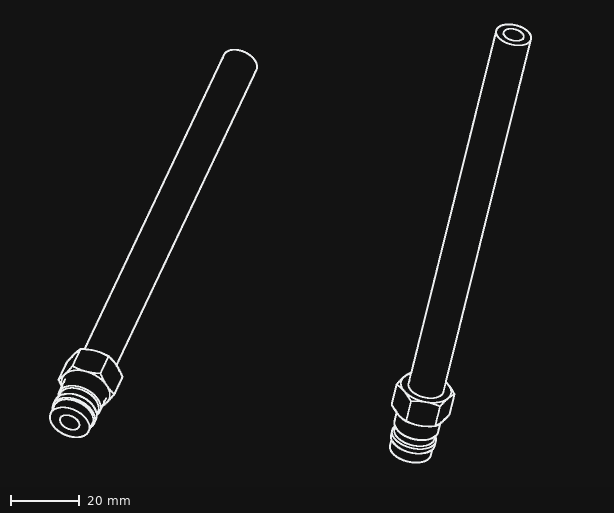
import cadquery as cq
import math

total_length = 150.0
tube_radius = 5.2
bore_radius = 3.0

hex_across_flats = 15.0
hex_front = 14.1
hex_length = 8.5
hex_back = hex_front + hex_length
hex_chamfer_angle = 30.0

nose_radius = 6.2
flange_radius = 6.6
flange_front = 3.3
flange_taper = 0.3
flange_back = 5.8
flange_chamfer = 0.6
groove_radius = 5.2
groove_fillet = 0.2
collar_radius = flange_radius
collar_front = 8.1
collar_chamfer = 0.5
collar_fillet = 0.3


def revolve_about_axis(outline):
    """Turn a closed (radius, Y) outline about the Y axis."""
    return outline.close().revolve(360, (0, 0, 0), (0, 1, 0))


def make_turned_body():
    """Nose, flange, groove, collar and tube as one turned shape."""
    outline = (
        cq.Workplane("XY")
        .lineTo(nose_radius, 0)
        .lineTo(nose_radius, flange_front)
        .lineTo(flange_radius, flange_front + flange_taper)
        .lineTo(flange_radius, flange_back - flange_chamfer)
        .lineTo(flange_radius - flange_chamfer, flange_back)
        .lineTo(groove_radius + groove_fillet, flange_back)
        .radiusArc((groove_radius, flange_back + groove_fillet), groove_fillet)
        .lineTo(groove_radius, collar_front - groove_fillet)
        .radiusArc((groove_radius + groove_fillet, collar_front), groove_fillet)
        .lineTo(collar_radius - collar_chamfer, collar_front)
        .lineTo(collar_radius, collar_front + collar_chamfer)
        .lineTo(collar_radius, hex_front - collar_fillet)
        .radiusArc((collar_radius + collar_fillet, hex_front), collar_fillet)
        .lineTo(tube_radius, hex_front)
        .lineTo(tube_radius, total_length)
        .lineTo(0, total_length)
    )
    return revolve_about_axis(outline)


def make_hexagon():
    """Hexagon with corners along X, its corners coned off at both ends."""
    corner_radius = hex_across_flats / math.sqrt(3)
    flat_radius = hex_across_flats / 2
    chamfer_length = (corner_radius - flat_radius) * math.tan(math.radians(hex_chamfer_angle))
    prism = (
        cq.Workplane("XZ", origin=(0, hex_front, 0))
        .polygon(6, 2 * corner_radius)
        .extrude(-hex_length)
    )
    envelope = revolve_about_axis(
        cq.Workplane("XY")
        .moveTo(0, hex_front)
        .lineTo(flat_radius, hex_front)
        .lineTo(corner_radius, hex_front + chamfer_length)
        .lineTo(corner_radius, hex_back - chamfer_length)
        .lineTo(flat_radius, hex_back)
        .lineTo(0, hex_back)
    )
    return prism.intersect(envelope)


def make_bore():
    """Through bore along the whole length."""
    return cq.Workplane("XZ").circle(bore_radius).extrude(-total_length)


result = make_turned_body().union(make_hexagon()).cut(make_bore())